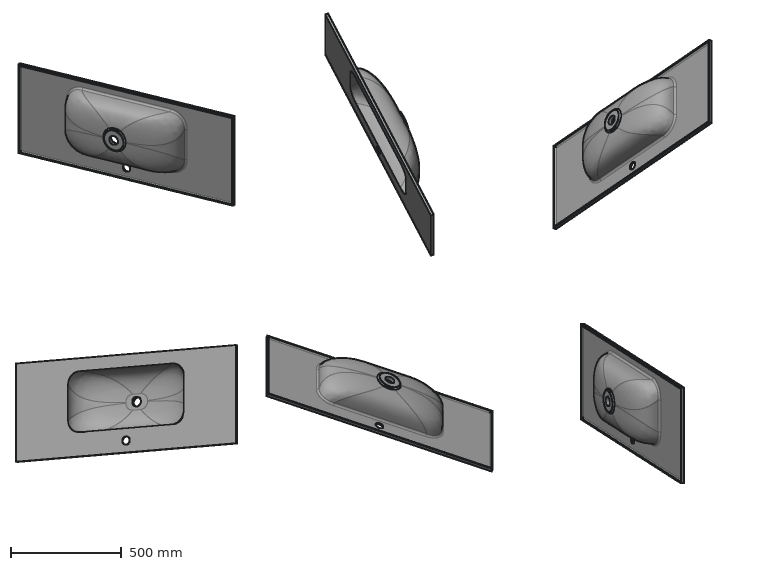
import cadquery as cq


deck_width = 1101.0
deck_height = 450.0
rim_thickness = 14.0
rim_width = 7.0
rim_inner_fillet = 6.1
recess_depth = 7.0
panel_thickness = rim_thickness - recess_depth

bowl_center_z = 25.0
bowl_half_width = 301.0
bowl_half_height = 151.0
bowl_depth = 122.0
bowl_corner_radius = 69.0
bowl_wall = 11.0
bowl_root_fillet = 10.0
width_exponent = 2.6
height_exponent = 3.1
depth_levels = (0, 0.2, 0.4, 0.6, 0.75, 0.87, 0.95, 0.98, 0.995)
tip_roundness = 0.95

total_depth = 130.0
drain_radius = 50.0
drain_root_radius = 58.0
drain_straight_length = 2.0
drain_cone_length = 7.0
drain_hole_radius = 22.0
tap_hole_radius = 19.0
tap_hole_z = -171.0


def plane_at(depth, center_z=0.0):
    """Sketch plane at a depth behind the show face, normal towards -Y."""
    return cq.Workplane("XZ", origin=(0, -depth, center_z))


def rounded_rectangle(half_width, half_height, radius, depth):
    """Closed outline of a bowl section."""
    outline = cq.Sketch().rect(2 * half_width, 2 * half_height).vertices().fillet(radius)
    section = plane_at(depth, bowl_center_z).placeSketch(outline)
    return section.extrude(bowl_wall).faces(">Y").val().outerWire()


def superellipse(level, exponent):
    """Remaining fraction of the opening size at a fraction of the depth."""
    return (1 - level**exponent) ** (1 / exponent)


def bowl_body(inset, start_depth):
    """Smooth bowl, drawn in from the outer surface by the inset."""
    half_width = bowl_half_width - inset
    half_height = bowl_half_height - inset
    depth_span = bowl_depth - inset - start_depth
    opening_roundness = (bowl_corner_radius - inset) / half_height
    wires = []
    for level in depth_levels:
        level_width = half_width * superellipse(level, width_exponent)
        level_height = half_height * superellipse(level, height_exponent)
        roundness = opening_roundness + (tip_roundness - opening_roundness) * level
        radius = roundness * min(level_width, level_height)
        depth = start_depth + depth_span * level
        wires.append(rounded_rectangle(level_width, level_height, radius, depth))
    return cq.Workplane(cq.Solid.makeLoft(wires))


def deck():
    slab = plane_at(0).rect(deck_width, deck_height).extrude(rim_thickness)
    recess = (
        plane_at(panel_thickness)
        .rect(deck_width - 2 * rim_width, deck_height - 2 * rim_width)
        .extrude(recess_depth)
        .faces(">Y")
        .edges()
        .fillet(rim_inner_fillet)
    )
    return slab.cut(recess)


def drain_boss():
    """Round boss that narrows from its root to a short straight collar."""
    cone_end = total_depth - drain_straight_length
    cone = (
        plane_at(cone_end - drain_cone_length, bowl_center_z)
        .circle(drain_root_radius)
        .workplane(offset=drain_cone_length)
        .circle(drain_radius)
        .loft()
    )
    collar = plane_at(cone_end, bowl_center_z).circle(drain_radius).extrude(drain_straight_length)
    return cone.union(collar)


def through_hole(radius, center_z):
    return plane_at(0, center_z).circle(radius).extrude(total_depth)


outside = deck().union(bowl_body(0, panel_thickness))
root_margin = 1.0
root_bottom = bowl_center_z - bowl_half_height - root_margin
root_top = bowl_center_z + bowl_half_height + root_margin
root_box = cq.selectors.BoxSelector(
    (-bowl_half_width - root_margin, -panel_thickness - root_margin, root_bottom),
    (bowl_half_width + root_margin, -panel_thickness + root_margin, root_top),
)
outside = outside.edges(root_box).fillet(bowl_root_fillet)

result = (
    outside.union(drain_boss())
    .cut(bowl_body(bowl_wall, 0))
    .cut(through_hole(drain_hole_radius, bowl_center_z))
    .cut(through_hole(tap_hole_radius, tap_hole_z))
)